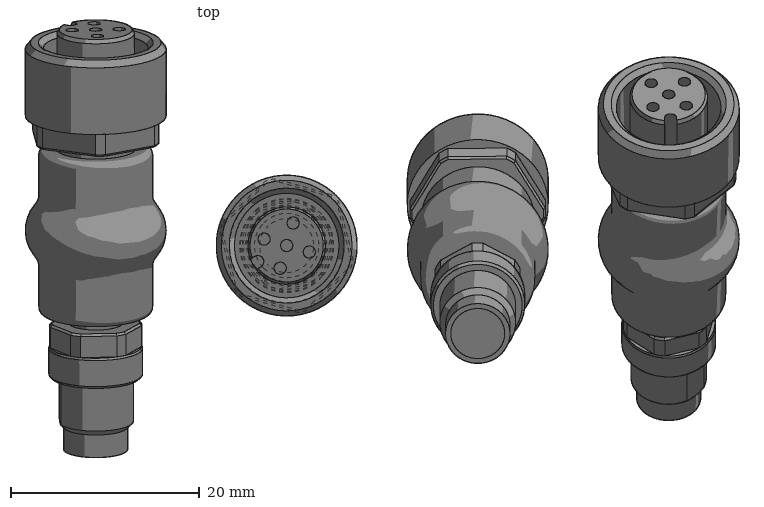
import cadquery as cq
import math


TWIST = -16.0

HEX_HALF_SECTOR = 30.0
HEX_CHAMFER = 0.25

SCREW_BOTTOM = 0.0
SLEEVE_BOTTOM = 2.5
COLLAR_BOTTOM = 8.0
COLLAR_TOP = 11.35
SCREW_TOP = 13.9
GRIP_BOTTOM = 15.0
GRIP_TOP = 33.13
NUT_BOTTOM = 34.2
NUT_RING_BOTTOM = 36.75
NUT_TOP = 44.75
CARRIER_TOP = 46.2

CARRIER_RADIUS = 4.1
CARRIER_NECK_RADIUS = 4.25
CARRIER_CHAMFER_WIDTH = 0.25
CARRIER_CHAMFER_HEIGHT = 0.4
SOCKET_DIAMETER = 1.3
SOCKET_DEPTH = 4.6
SOCKET_CIRCLE_RADIUS = 2.5
SOCKET_COUNT = 4
KEYWAY_DIAMETER = 1.3
KEYWAY_CENTRE_RADIUS = 3.5
KEYWAY_ANGLE = TWIST - 135.0

NUT_RADIUS = 7.5
NUT_CHAMFER_WIDTH = 0.55
NUT_CHAMFER_HEIGHT = 0.7
NUT_MOUTH_RADIUS = 6.1
NUT_RECESS_RADIUS = 5.55
NUT_MOUTH_CHAMFER = NUT_MOUTH_RADIUS - NUT_RECESS_RADIUS
NUT_HEX_FLATS = 13.0
NUT_HEX_CORNER_RADIUS = 7.2
NUT_HEX_ANGLE = TWIST + HEX_HALF_SECTOR

GRIP_RADIUS = 6.05
GRIP_EDGE_FILLET = 0.7
BULGE_RADIUS = 7.5
BULGE_ARC_RADIUS = 4.0
BULGE_BLEND_RADIUS = 2.0

SPIGOT_RADIUS = 2.85
SCREW_TIP_RADIUS = 3.4
SLEEVE_RADIUS = 4.0
SLEEVE_FLAT_DISTANCE = 3.8
SLEEVE_FLAT_ANGLE = TWIST - 90.0
COLLAR_RADIUS = 5.0
COLLAR_BOTTOM_CHAMFER = 0.3
COLLAR_TOP_CHAMFER_WIDTH = 0.1
COLLAR_TOP_CHAMFER_HEIGHT = 0.25
SCREW_HEX_FLATS = 9.0
SCREW_HEX_CORNER_RADIUS = 4.9
SCREW_HEX_ANGLE = TWIST


def cylinder(radius, bottom, top):
    return cq.Workplane("XY").workplane(offset=bottom).circle(radius).extrude(top - bottom)


def polar(radius, angle):
    turn = math.radians(angle)
    return radius * math.cos(turn), radius * math.sin(turn)


def hexagon(flats, corner_radius, bottom, top, flat_angle):
    """Hexagonal prism with corners rounded to a circle; one flat faces flat_angle."""
    point_diameter = flats / math.cos(math.radians(HEX_HALF_SECTOR))
    prism = (
        cq.Workplane("XY")
        .workplane(offset=bottom)
        .polygon(6, point_diameter)
        .extrude(top - bottom)
        .rotate((0, 0, 0), (0, 0, 1), flat_angle + HEX_HALF_SECTOR)
    )
    return prism.intersect(cylinder(corner_radius, bottom, top))


def make_carrier():
    profile = (
        cq.Workplane("XZ")
        .moveTo(0, GRIP_TOP)
        .lineTo(CARRIER_NECK_RADIUS, GRIP_TOP)
        .lineTo(CARRIER_NECK_RADIUS, NUT_BOTTOM)
        .lineTo(CARRIER_RADIUS, NUT_BOTTOM)
        .lineTo(CARRIER_RADIUS, CARRIER_TOP - CARRIER_CHAMFER_HEIGHT)
        .lineTo(CARRIER_RADIUS - CARRIER_CHAMFER_WIDTH, CARRIER_TOP)
        .lineTo(0, CARRIER_TOP)
        .close()
    )
    body = profile.revolve(360, (0, 0, 0), (0, 1, 0))

    sockets = [(0, 0)]
    for i in range(SOCKET_COUNT):
        sockets.append(polar(SOCKET_CIRCLE_RADIUS, TWIST + i * 360 / SOCKET_COUNT))
    for x, y in sockets:
        socket = cylinder(SOCKET_DIAMETER / 2, CARRIER_TOP - SOCKET_DEPTH, CARRIER_TOP)
        body = body.cut(socket.translate((x, y, 0)))

    length = CARRIER_RADIUS - KEYWAY_CENTRE_RADIUS + KEYWAY_DIAMETER
    keyway_height = CARRIER_TOP - NUT_RING_BOTTOM
    keyway = (
        cq.Workplane("XY")
        .workplane(offset=NUT_RING_BOTTOM)
        .center(KEYWAY_CENTRE_RADIUS + length / 2, 0)
        .slot2D(length + KEYWAY_DIAMETER, KEYWAY_DIAMETER)
        .extrude(keyway_height)
        .rotate((0, 0, 0), (0, 0, 1), KEYWAY_ANGLE)
    )
    return body.cut(keyway)


def make_coupling_nut():
    ring = (
        cq.Workplane("XZ")
        .moveTo(NUT_RECESS_RADIUS, NUT_RING_BOTTOM)
        .lineTo(NUT_RADIUS, NUT_RING_BOTTOM)
        .lineTo(NUT_RADIUS, NUT_TOP - NUT_CHAMFER_HEIGHT)
        .lineTo(NUT_RADIUS - NUT_CHAMFER_WIDTH, NUT_TOP)
        .lineTo(NUT_MOUTH_RADIUS, NUT_TOP)
        .lineTo(NUT_RECESS_RADIUS, NUT_TOP - NUT_MOUTH_CHAMFER)
        .close()
        .revolve(360, (0, 0, 0), (0, 1, 0))
    )
    hex_base = hexagon(
        NUT_HEX_FLATS, NUT_HEX_CORNER_RADIUS, NUT_BOTTOM, NUT_RING_BOTTOM, NUT_HEX_ANGLE
    )
    hex_base = hex_base.faces("<Z").chamfer(HEX_CHAMFER)
    bore = cylinder(CARRIER_RADIUS, NUT_BOTTOM, NUT_TOP)
    return ring.union(hex_base).cut(bore)


def make_grip():
    middle = (GRIP_BOTTOM + GRIP_TOP) / 2
    bulge_centre = BULGE_RADIUS - BULGE_ARC_RADIUS
    blend_centre = GRIP_RADIUS + BULGE_BLEND_RADIUS
    radius_sum = BULGE_ARC_RADIUS + BULGE_BLEND_RADIUS
    slope = math.acos((blend_centre - bulge_centre) / radius_sum)
    joint_radius = bulge_centre + BULGE_ARC_RADIUS * math.cos(slope)
    joint_rise = BULGE_ARC_RADIUS * math.sin(slope)
    blend_rise = radius_sum * math.sin(slope)
    blend_mid_radius = blend_centre - BULGE_BLEND_RADIUS * math.cos(slope / 2)
    blend_mid_rise = blend_rise - BULGE_BLEND_RADIUS * math.sin(slope / 2)
    return (
        cq.Workplane("XZ")
        .moveTo(0, GRIP_BOTTOM)
        .lineTo(GRIP_RADIUS, GRIP_BOTTOM)
        .lineTo(GRIP_RADIUS, middle - blend_rise)
        .threePointArc((blend_mid_radius, middle - blend_mid_rise), (joint_radius, middle - joint_rise))
        .threePointArc((BULGE_RADIUS, middle), (joint_radius, middle + joint_rise))
        .threePointArc((blend_mid_radius, middle + blend_mid_rise), (GRIP_RADIUS, middle + blend_rise))
        .lineTo(GRIP_RADIUS, GRIP_TOP)
        .lineTo(0, GRIP_TOP)
        .close()
        .revolve(360, (0, 0, 0), (0, 1, 0))
        .faces("<Z or >Z")
        .edges()
        .fillet(GRIP_EDGE_FILLET)
    )


def make_spigot():
    return cylinder(SPIGOT_RADIUS, SCREW_BOTTOM, GRIP_BOTTOM)


def make_sleeve():
    sleeve = cylinder(SLEEVE_RADIUS, SLEEVE_BOTTOM, COLLAR_BOTTOM)
    sleeve = sleeve.faces("<Z").chamfer(SLEEVE_RADIUS - SCREW_TIP_RADIUS)
    beyond_flat = (
        cq.Workplane("XY")
        .workplane(offset=SLEEVE_BOTTOM)
        .center(SLEEVE_FLAT_DISTANCE + SLEEVE_RADIUS / 2, 0)
        .rect(SLEEVE_RADIUS, 2 * SLEEVE_RADIUS)
        .extrude(COLLAR_BOTTOM - SLEEVE_BOTTOM)
        .rotate((0, 0, 0), (0, 0, 1), SLEEVE_FLAT_ANGLE)
    )
    return sleeve.cut(beyond_flat)


def make_collar():
    return (
        cq.Workplane("XZ")
        .moveTo(0, COLLAR_BOTTOM)
        .lineTo(COLLAR_RADIUS - COLLAR_BOTTOM_CHAMFER, COLLAR_BOTTOM)
        .lineTo(COLLAR_RADIUS, COLLAR_BOTTOM + COLLAR_BOTTOM_CHAMFER)
        .lineTo(COLLAR_RADIUS, COLLAR_TOP - COLLAR_TOP_CHAMFER_HEIGHT)
        .lineTo(COLLAR_RADIUS - COLLAR_TOP_CHAMFER_WIDTH, COLLAR_TOP)
        .lineTo(0, COLLAR_TOP)
        .close()
        .revolve(360, (0, 0, 0), (0, 1, 0))
    )


def make_screw():
    tip = cylinder(SCREW_TIP_RADIUS, SCREW_BOTTOM, SLEEVE_BOTTOM)
    hex_head = hexagon(
        SCREW_HEX_FLATS, SCREW_HEX_CORNER_RADIUS, COLLAR_TOP, SCREW_TOP, SCREW_HEX_ANGLE
    )
    hex_head = hex_head.faces(">Z").chamfer(HEX_CHAMFER)
    bore = cylinder(SPIGOT_RADIUS, SCREW_BOTTOM, SCREW_TOP)
    return tip.union(make_sleeve()).union(make_collar()).union(hex_head).cut(bore)


carrier = make_carrier()
coupling_nut = make_coupling_nut()
grip = make_grip()
spigot = make_spigot()
screw = make_screw()

result = cq.Compound.makeCompound(
    [carrier.val(), coupling_nut.val(), grip.val(), spigot.val(), screw.val()]
)